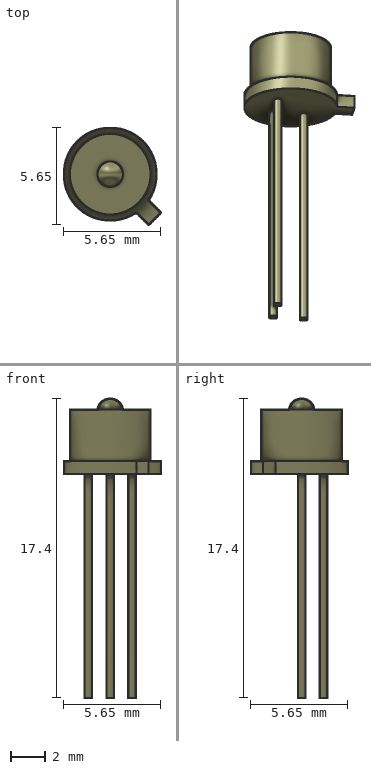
import cadquery as cq

total_height = 17.4
flange_diameter = 5.4
flange_thickness = 0.75

cap_diameter = 4.7
cap_height = 3.0
lens_diameter = 1.5
lens_protrusion = 0.65

tab_width = 1.01
tab_reach = 3.67
tab_angle = -45.0

lead_diameter = 0.45
lead_circle_radius = 1.27
lead_angles = (0, 90, 180)

cap_top = flange_thickness + cap_height
lens_center = cap_top + lens_protrusion - lens_diameter / 2
lead_length = total_height - cap_top - lens_protrusion


def make_header():
    """Round flange with its radial locating tab."""
    flange = cq.Workplane("XY").circle(flange_diameter / 2).extrude(flange_thickness)
    tab = (
        cq.Workplane("XY")
        .box(tab_reach, tab_width, flange_thickness, centered=(False, True, False))
        .rotate((0, 0, 0), (0, 0, 1), tab_angle)
    )
    return flange.union(tab)


def make_cap():
    """Cylindrical cap standing on the flange, with the ball lens on top."""
    cap = (
        cq.Workplane("XY", origin=(0, 0, flange_thickness))
        .circle(cap_diameter / 2)
        .extrude(cap_height)
    )
    lens = cq.Workplane("XY", origin=(0, 0, lens_center)).sphere(lens_diameter / 2)
    return cap.union(lens)


def make_leads():
    """Straight leads hanging below the flange, on a common circle."""
    leads = cq.Workplane("XY")
    for angle in lead_angles:
        lead = (
            cq.Workplane("XY")
            .center(lead_circle_radius, 0)
            .circle(lead_diameter / 2)
            .extrude(-lead_length)
            .rotate((0, 0, 0), (0, 0, 1), angle)
        )
        leads = leads.add(lead)
    return leads


result = make_header().union(make_cap()).union(make_leads())